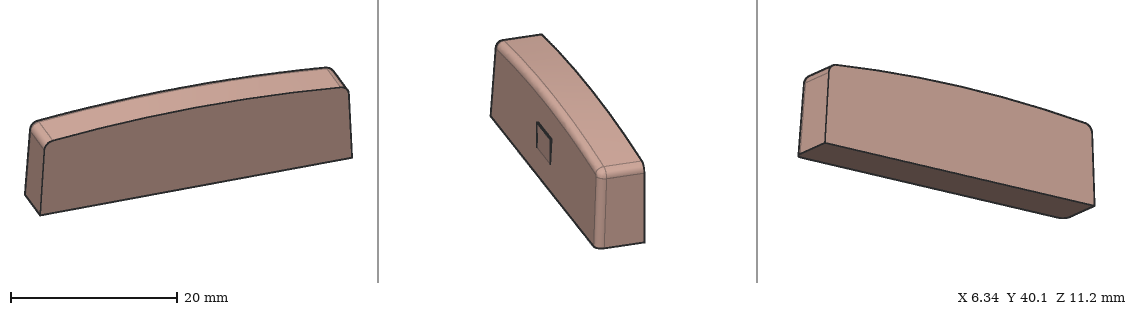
import cadquery as cq
import math

length = 40.05
base_depth = 6.15
height = 11.15
end_height = 10.1
front_draft = 3.0
back_lean = 1.0
end_draft = 3.0
edge_radius = 1.0
top_end_radius = 1.2

pad_width = 5.05
pad_bottom = 3.4
pad_top = 6.73


def run(rise, angle):
    """Sideways travel of a wall leaning by angle degrees over a given rise."""
    return rise * math.tan(math.radians(angle))


front_x = -base_depth / 2
back_x = base_depth / 2
half_length = length / 2
half_top = half_length - run(end_height, end_draft)
back_top_x = back_x + run(height, back_lean)

crowned_profile = (
    cq.Workplane("YZ", origin=(front_x, 0, 0))
    .moveTo(-half_length, 0)
    .lineTo(half_length, 0)
    .lineTo(half_top, end_height)
    .threePointArc((0, height), (-half_top, end_height))
    .close()
    .extrude(back_top_x - front_x)
)

cross_section = (
    cq.Workplane("XZ", origin=(0, half_length, 0))
    .polyline([
        (front_x, 0),
        (back_x, 0),
        (back_top_x, height),
        (front_x + run(height, front_draft), height),
    ])
    .close()
    .extrude(length)
)
body = crowned_profile.intersect(cross_section)

top_end_edges = body.faces(">Z").edges("<Y or >Y")
body = body.newObject(top_end_edges.vals()).fillet(top_end_radius)
body = body.faces("<X").edges("not <Z").fillet(edge_radius)

pad_x = front_x + run(pad_bottom, front_draft)
pad_depth = 1.0
pad = cq.Workplane("XY").box(
    pad_depth, pad_width, pad_top - pad_bottom, centered=(False, True, False)
).translate((pad_x, 0, pad_bottom))

result = body.union(pad)